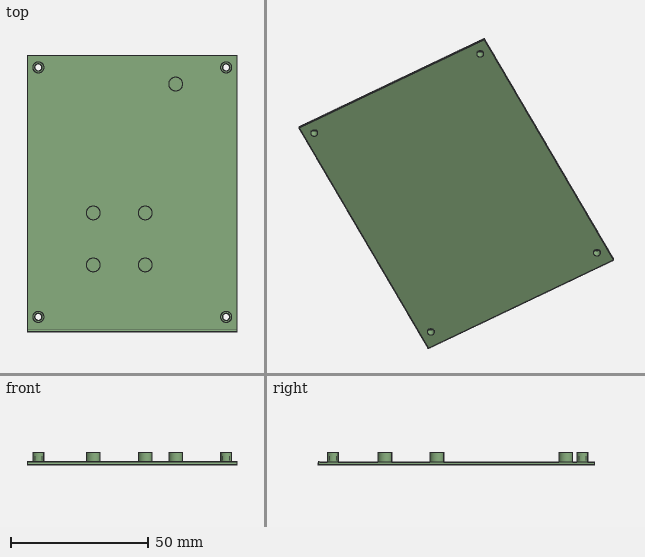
import cadquery as cq
import math

width = 76.5
length = 100.9
total_height = 4.5
plate_thickness = 1.0

ramp_angle = 9.5
ramp_depth = 0.9
ramp_slope = math.tan(math.radians(ramp_angle))

standoff_diameter = 4.0
hole_diameter = 2.5
standoff_spacing_x = 68.5
standoff_spacing_y = 91.0
standoff_center_y = 0.5

peg_diameter = 5.0
peg_spacing = 19.0
peg_group_center = (-4.7, -16.5)
single_peg_center = (15.8, 39.9)


def standoff_locations(workplane):
    """Place points at the corners of the standoff rectangle."""
    return workplane.center(0, standoff_center_y).rarray(
        standoff_spacing_x, standoff_spacing_y, 2, 2
    )


crest_inset = (plate_thickness + ramp_depth * ramp_slope) * ramp_slope / (1 + ramp_slope**2)
crest_height = crest_inset / ramp_slope

plate = (
    cq.Workplane("YZ")
    .polyline(
        [
            (-length / 2, 0),
            (length / 2, 0),
            (length / 2, plate_thickness),
            (-length / 2 + ramp_depth, plate_thickness),
            (-length / 2 + crest_inset, crest_height),
        ]
    )
    .close()
    .extrude(width / 2, both=True)
)

standoffs = standoff_locations(cq.Workplane("XY")).circle(standoff_diameter / 2).extrude(total_height)

peg_group = (
    cq.Workplane("XY")
    .center(*peg_group_center)
    .rarray(peg_spacing, peg_spacing, 2, 2)
    .circle(peg_diameter / 2)
    .extrude(total_height)
)

single_peg = (
    cq.Workplane("XY").center(*single_peg_center).circle(peg_diameter / 2).extrude(total_height)
)

holes = standoff_locations(cq.Workplane("XY")).circle(hole_diameter / 2).extrude(total_height)

result = plate.union(standoffs).union(peg_group).union(single_peg).cut(holes)